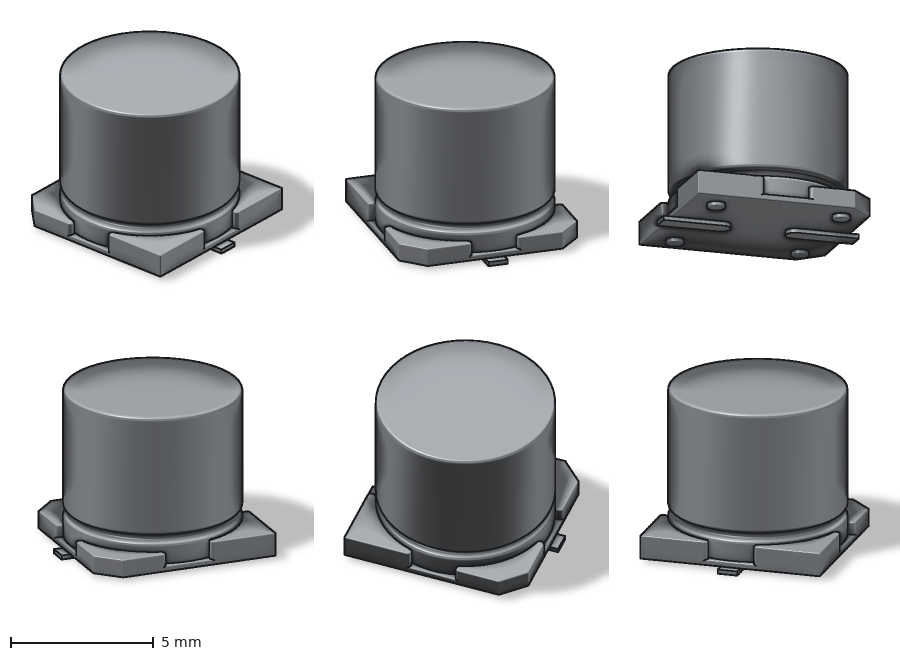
import cadquery as cq

lead_span = 7.2
base_width = 6.6
total_height = 5.8

base_bottom = 0.16
notch_floor = 0.37
low_block_top = 0.82
high_block_top = 1.02
corner_chamfer = 0.81
notch_width = 1.685
block_end_radius = 0.13
edge_radius = 0.04

can_radius = 6.3 / 2
neck_radius = 5.67 / 2
can_edge_radius = 0.13
groove_root_radius = 0.11
neck_height = 0.05
groove_mid_height = 1.275

lead_width = 0.71
lead_inner_end = 1.02
foot_diameter = 0.63
foot_edge_radius = 0.03
foot_offset = 2.305


def base_prism(bottom, top):
    """Base outline between two heights: a square with both -X corners cut off."""
    return (
        cq.Workplane("XY", origin=(0, 0, bottom))
        .rect(base_width, base_width)
        .extrude(top - bottom)
        .edges("<X and |Z")
        .chamfer(corner_chamfer)
        .edges("|Z")
        .fillet(edge_radius)
    )


def base_slab():
    """Thin slab that forms the notch floors, rounded at its top and bottom rims."""
    return base_prism(base_bottom, notch_floor).faces("<Z or >Z").edges().fillet(edge_radius)


def corner_block(x_side, top):
    """Block at the +Y corner on one X side, with rounded ends and a rounded top rim."""
    bottom = base_bottom + edge_radius
    height = top - bottom
    corner_x = x_side * (base_width + notch_width) / 4
    corner_y = (base_width + notch_width) / 4
    corner_width = (base_width - notch_width) / 2
    corner = (
        cq.Workplane("XY", origin=(corner_x, corner_y, bottom))
        .rect(corner_width, corner_width)
        .extrude(height)
    )
    can_seat = cq.Workplane("XY", origin=(0, 0, bottom)).circle(can_radius).extrude(height)
    notch_sides = "<X or <Y" if x_side > 0 else ">X or <Y"
    return (
        base_prism(bottom, top)
        .intersect(corner)
        .cut(can_seat)
        .faces(notch_sides)
        .edges("|Z")
        .fillet(block_end_radius)
        .faces(">Z")
        .edges()
        .fillet(edge_radius)
    )


def can():
    """Revolved can with a rounded top rim and a groove of two mirrored S-curves."""
    root_start = neck_height / 2
    shoulder = root_start + groove_root_radius
    lip_end = shoulder + can_edge_radius
    root_edge = neck_radius + groove_root_radius
    lip_edge = can_radius - can_edge_radius
    mid = groove_mid_height
    diagonal = 0.5**0.5

    root_mid_r = root_edge - groove_root_radius * diagonal
    root_mid_h = shoulder - groove_root_radius * (1 - diagonal)
    lip_mid_r = lip_edge + can_edge_radius * diagonal
    lip_mid_h = lip_end - can_edge_radius * diagonal
    top_mid_h = total_height - can_edge_radius * (1 - diagonal)

    profile = (
        cq.Workplane("XZ")
        .moveTo(0, notch_floor)
        .lineTo(can_radius, notch_floor)
        .lineTo(can_radius, mid - lip_end)
        .threePointArc((lip_mid_r, mid - lip_mid_h), (lip_edge, mid - shoulder))
        .lineTo(root_edge, mid - shoulder)
        .threePointArc((root_mid_r, mid - root_mid_h), (neck_radius, mid - root_start))
        .lineTo(neck_radius, mid + root_start)
        .threePointArc((root_mid_r, mid + root_mid_h), (root_edge, mid + shoulder))
        .lineTo(lip_edge, mid + shoulder)
        .threePointArc((lip_mid_r, mid + lip_mid_h), (can_radius, mid + lip_end))
        .lineTo(can_radius, total_height - can_edge_radius)
        .threePointArc((lip_mid_r, top_mid_h), (lip_edge, total_height))
        .lineTo(0, total_height)
        .close()
    )
    return profile.revolve(360, (0, 0, 0), (0, 1, 0))


def lead(x_side):
    """Flat lead that sticks out along X and has a round inner end."""
    lead_radius = lead_width / 2
    round_centre = x_side * (lead_inner_end + lead_radius)
    tip = x_side * lead_span / 2
    return (
        cq.Workplane("XY")
        .moveTo(tip, -lead_radius)
        .lineTo(round_centre, -lead_radius)
        .threePointArc((x_side * lead_inner_end, 0), (round_centre, lead_radius))
        .lineTo(tip, lead_radius)
        .close()
        .extrude(base_bottom)
    )


def feet():
    """Four round feet near the corners of the base."""
    return (
        cq.Workplane("XY")
        .rect(2 * foot_offset, 2 * foot_offset, forConstruction=True)
        .vertices()
        .circle(foot_diameter / 2)
        .extrude(base_bottom)
        .faces("<Z")
        .edges()
        .fillet(foot_edge_radius)
    )


result = base_slab()
for x_side, block_top in ((-1, low_block_top), (1, high_block_top)):
    block = corner_block(x_side, block_top)
    result = result.union(block).union(block.mirror("XZ")).union(lead(x_side))
result = result.union(feet()).union(can())